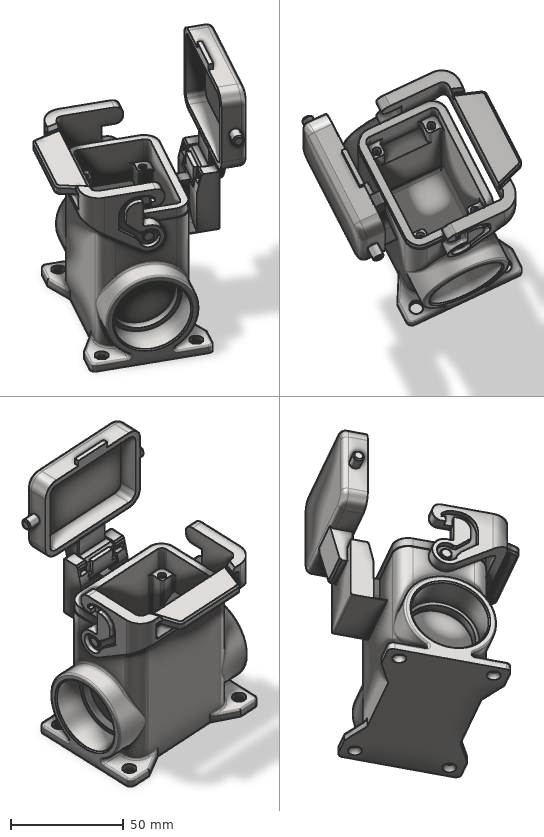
import cadquery as cq
import math


SPAN_X = 82.0
TOTAL_HEIGHT = 134.0

BODY_X, BODY_Y, BODY_HEIGHT = 60.5, 43.4, 73.5
BODY_CORNER = 7.4
RIM_HEIGHT = 4.8
RIM_X, RIM_Y = 59.5, 43.1

CAVITY_X, CAVITY_Y, CAVITY_CORNER = 52.5, 35.5, 2.7
LOWER_CAVITY_X = 38.6
CAVITY_FLOOR = 4.0
FLOOR_FILLET = 2.0
SHELF_OUTER_Z, SHELF_INNER_Z = 52.3, 46.9
POST_TOP, POST_Y, POST_CORNER = 61.6, 7.2, 1.6
SCREW_X, SCREW_Y, SCREW_DIAMETER, SCREW_DEPTH = 22.1, 13.5, 3.8, 10.7

PIPE_Z, PIPE_RADIUS = 25.2, 21.6
PIPE_ROOT_FILLET = 1.0
BORE_RADIUS, BORE_DEPTH, BORE_CHAMFER = 18.0, 15.0, 0.7
KNOCKOUT_RADIUS, KNOCKOUT_DEPTH = 16.1, 19.3

FOOT_Y, FOOT_THICKNESS, FOOT_CORNER = 57.2, 4.2, 2.7
FOOT_EDGE = 1.0
FOOT_FLAT_X, FOOT_INNER_X = 29.2, 16.5
FOOT_HOLE_X, FOOT_HOLE_Y, FOOT_HOLE_DIAMETER = 35.0, 22.0, 6.3
NECK_RADIUS = 1.3

COVER_X, COVER_CORNER, COVER_WALL, COVER_BACK_EDGE = 60.5, 7.1, 3.0, 3.0
COVER_FRONT_Y, COVER_BACK_Y = 35.1, 47.2
COVER_BOTTOM, COVER_TOP = 87.9, 131.0
TAB_X, TAB_THICKNESS = 18.4, 2.3
PEG_Z, PEG_Y, PEG_DIAMETER, PEG_SPAN, PEG_EDGE = 109.3, 41.3, 5.2, 73.3, 0.7

HINGE_X, HINGE_BACK_Y, HINGE_FRONT_Y = 29.7, 38.6, 28.0
HINGE_TOP, HINGE_BOTTOM = 78.9, 47.7
HINGE_BACK_FILLET = 0.8
HINGE_SLOT_X, HINGE_SLOT_FLOOR = 18.2, 71.0
EAR_NOTCH_X, EAR_NOTCH_Y, EAR_NOTCH_LOW, EAR_NOTCH_HIGH = 27.3, 31.4, 73.2, 76.6
BRACKET_TOP, BRACKET_NECK_Z, BRACKET_FOOT_Z = 68.7, 59.5, 49.6
BRACKET_NECK_X, BRACKET_FOOT_X, BRACKET_LIP = 6.0, 17.7, 0.4
ARM_X, ARM_FRONT_Y, ARM_BACK_Y, ARM_SLOPE_TOP, ARM_CHAMFER = 17.7, 35.5, 46.6, 89.2, 0.7
BAR_FRONT_Y, BAR_TOP = 30.7, 78.4
APRON_X, APRON_FRONT_Y, APRON_TOP = 12.6, 29.0, 77.5

LEVER_X, LEVER_INNER_X, LEVER_TOP = 72.5, 61.0, 90.5
LEVER_FRONT_Y, LEVER_INNER_Y = -30.3, -24.9
LEVER_CORNER, LEVER_INNER_CORNER = 9.1, 3.5
PIVOT_Z, EYE_RADIUS, PIVOT_RADIUS = 64.5, 7.0, 2.7
HOOK_Y, HOOK_BOTTOM, HOOK_CORNER, THROAT_Y, THROAT_FILLET = 7.0, 81.3, 4.2, -3.1, 1.3
LEVER_NOSE_Z = 76.6
TRACK_DEPTH, TRACK_EYE_RADIUS = 2.7, 4.8
TRACK_BEND_Y, TRACK_BEND_Z = -5.1, 78.7
TRACK_OUTER_RADIUS, TRACK_INNER_RADIUS = 9.2, 5.9
TRACK_END_Y, TRACK_END_Z, TRACK_GATE_Y = 2.7, 83.9, 0.8
PIN_CHAMFER = 0.4
HANDLE_TIP_Y, HANDLE_TOP, HANDLE_BOTTOM = -38.7, 88.5, 83.6
HANDLE_ROOT_X, HANDLE_TIP_X, HANDLE_CORNER, HANDLE_EDGE = 47.5, 37.8, 2.7, 1.0
NOTCH_ROOT_X, NOTCH_TIP_X, NOTCH_SPLAY = 48.5, 38.9, 35
POCKET_X, POCKET_LOW, POCKET_HIGH, POCKET_CORNER = 52.5, 78.5, 87.1, 1.1
POCKET_DEPTH, POCKET_TAPER = 3.5, 40


def box(x_size, y_low, y_high, z_low, z_high):
    """Block centred on X with given Y and Z limits."""
    block = cq.Workplane("XY").box(x_size, y_high - y_low, z_high - z_low, centered=(True, False, False))
    return block.translate((0, y_low, z_low))


def rounded_prism(x_size, y_size, corner, z_low, z_high):
    """Upright rectangular prism with rounded vertical edges."""
    prism = cq.Workplane("XY", origin=(0, 0, z_low)).rect(x_size, y_size).extrude(z_high - z_low)
    return prism.edges("|Z").fillet(corner)


def x_cylinder(radius, x_low, x_high, y, z):
    """Cylinder along X."""
    return cq.Workplane("YZ", origin=(x_low, y, z)).circle(radius).extrude(x_high - x_low)


def side_profile(points, x_size):
    """Polygon of (Y, Z) points extruded symmetrically along X."""
    return cq.Workplane("YZ").polyline(points).close().extrude(x_size / 2, both=True)


def both_sides(right_half):
    """Body together with its mirror image across X = 0."""
    return right_half.union(right_half.mirror("YZ"))


def make_feet():
    half_x, half_y, waist_y = SPAN_X / 2, FOOT_Y / 2, BODY_Y / 2
    quarter = [(half_x, half_y), (FOOT_FLAT_X, half_y), (FOOT_INNER_X, waist_y)]
    outline = quarter + [(-x, y) for x, y in reversed(quarter)]
    outline += [(-x, -y) for x, y in quarter] + [(x, -y) for x, y in reversed(quarter)]
    plate = cq.Workplane("XY").polyline(outline).close().extrude(FOOT_THICKNESS)
    for side in (">X", "<X"):
        plate = plate.faces(side).edges("|Z").fillet(FOOT_CORNER)
    return plate


def foot_holes():
    spots = [(x * FOOT_HOLE_X, y * FOOT_HOLE_Y) for x in (-1, 1) for y in (-1, 1)]
    return cq.Workplane("XY").pushPoints(spots).circle(FOOT_HOLE_DIAMETER / 2).extrude(FOOT_THICKNESS)


def make_pipes():
    pipe = x_cylinder(PIPE_RADIUS, 0, SPAN_X / 2, 0, PIPE_Z)
    groove_z = FOOT_THICKNESS + NECK_RADIUS
    reach = PIPE_RADIUS + NECK_RADIUS
    drop = PIPE_Z - groove_z
    groove_y = math.sqrt(reach**2 - drop**2)
    touch = PIPE_RADIUS / reach
    web_half = [(groove_y, 0), (groove_y, groove_z), (groove_y * touch, PIPE_Z - drop * touch)]
    web_points = web_half + [(-y, z) for y, z in reversed(web_half)]
    web = cq.Workplane("YZ").polyline(web_points).close().extrude(SPAN_X / 2)
    for y in (-groove_y, groove_y):
        web = web.cut(x_cylinder(NECK_RADIUS, 0, SPAN_X / 2, y, groove_z))
    return both_sides(pipe.union(web))


def pipe_bores():
    end = SPAN_X / 2
    bore = x_cylinder(BORE_RADIUS, end - BORE_DEPTH, end, 0, PIPE_Z)
    mouth = cq.Solid.makeCone(
        BORE_RADIUS,
        BORE_RADIUS + BORE_CHAMFER,
        BORE_CHAMFER,
        cq.Vector(end - BORE_CHAMFER, 0, PIPE_Z),
        cq.Vector(1, 0, 0),
    )
    bore = bore.union(cq.Workplane(mouth))
    return both_sides(bore.union(x_cylinder(KNOCKOUT_RADIUS, end - KNOCKOUT_DEPTH, end, 0, PIPE_Z)))


def make_shell():
    rim_z = BODY_HEIGHT - RIM_HEIGHT
    lower = rounded_prism(BODY_X, BODY_Y, BODY_CORNER, 0, rim_z)
    return lower.union(rounded_prism(RIM_X, RIM_Y, BODY_CORNER, rim_z, BODY_HEIGHT))


def make_post():
    """Screw post in the +X +Y corner: rounded nose, hollow fillets where it meets the walls."""
    wall_x, wall_y = CAVITY_X / 2, CAVITY_Y / 2
    inner_x, inner_y = LOWER_CAVITY_X / 2, wall_y - POST_Y
    return (
        cq.Workplane("XY")
        .moveTo(wall_x, wall_y)
        .lineTo(inner_x - POST_CORNER, wall_y)
        .radiusArc((inner_x, wall_y - POST_CORNER), POST_CORNER)
        .lineTo(inner_x, inner_y + POST_CORNER)
        .radiusArc((inner_x + POST_CORNER, inner_y), -POST_CORNER)
        .lineTo(wall_x - POST_CORNER, inner_y)
        .radiusArc((wall_x, inner_y - POST_CORNER), POST_CORNER)
        .close()
        .extrude(POST_TOP)
    )


def make_cavity():
    well = cq.Workplane("XY", origin=(0, 0, CAVITY_FLOOR))
    well = well.rect(LOWER_CAVITY_X, CAVITY_Y).extrude(BODY_HEIGHT - CAVITY_FLOOR)
    well = well.faces("<Z").edges().fillet(FLOOR_FILLET)
    outer, inner = CAVITY_X / 2, LOWER_CAVITY_X / 2
    section = [(outer, BODY_HEIGHT), (outer, SHELF_OUTER_Z), (inner, SHELF_INNER_Z)]
    section += [(-x, z) for x, z in reversed(section)]
    upper = cq.Workplane("XZ").polyline(section).close().extrude(CAVITY_Y / 2, both=True)
    envelope = rounded_prism(CAVITY_X, CAVITY_Y, CAVITY_CORNER, 0, BODY_HEIGHT)
    cavity = well.union(upper.intersect(envelope))

    post = make_post()
    for pair in (post, post.mirror("YZ")):
        cavity = cavity.cut(pair).cut(pair.mirror("XZ"))
    spots = [(x * SCREW_X, y * SCREW_Y) for x in (-1, 1) for y in (-1, 1)]
    screw_holes = cq.Workplane("XY", origin=(0, 0, POST_TOP - SCREW_DEPTH)).pushPoints(spots)
    return cavity.union(screw_holes.circle(SCREW_DIAMETER / 2).extrude(SCREW_DEPTH))


def round_junctions(solid):
    """Fillet where the pipes and webs meet the housing walls, running on round the foot of the housing."""
    reach_x, reach_y = BODY_X / 2 + 0.7, BODY_Y / 2 + 0.7
    low, high = FOOT_THICKNESS + NECK_RADIUS, PIPE_Z + PIPE_RADIUS
    near_wall = cq.selectors.BoxSelector((-reach_x, -reach_y, low), (reach_x, reach_y, high))
    return solid.edges(near_wall - cq.selectors.TypeSelector("LINE")).fillet(PIPE_ROOT_FILLET)


def round_foot_edges(solid):
    """Round the end-face outlines and the outer top edges of the feet."""
    edges = []
    for edge in solid.edges().vals():
        spot = edge.Center()
        on_end = abs(spot.x) > SPAN_X / 2 - 0.1 and spot.z > FOOT_THICKNESS - 0.1
        on_foot_rim = abs(spot.z - FOOT_THICKNESS) < 0.1 and abs(spot.y) > BODY_Y / 2 + 1.3
        if on_end or on_foot_rim:
            edges.append(edge)
    return solid.newObject(edges).fillet(FOOT_EDGE)


def make_hinge():
    block = side_profile(
        [
            (HINGE_BACK_Y, HINGE_BOTTOM),
            (HINGE_BACK_Y, HINGE_TOP),
            (31.0, HINGE_TOP),
            (30.2, HINGE_TOP - 0.8),
            (HINGE_FRONT_Y, BRACKET_TOP),
            (HINGE_FRONT_Y, HINGE_BOTTOM),
        ],
        HINGE_X,
    )
    block = block.edges("|X and >Y").fillet(HINGE_BACK_FILLET)
    block = block.cut(box(HINGE_SLOT_X, 0, HINGE_BACK_Y, HINGE_SLOT_FLOOR, HINGE_TOP))
    block = block.cut(box(HINGE_SLOT_X, 0, APRON_FRONT_Y, BRACKET_TOP, HINGE_SLOT_FLOOR))
    block = block.cut(box(EAR_NOTCH_X, 0, EAR_NOTCH_Y, EAR_NOTCH_LOW, EAR_NOTCH_HIGH))
    neck, flare, foot = BRACKET_NECK_X / 2, BRACKET_FOOT_X / 2, HINGE_X / 2
    radial = math.sqrt(0.5)
    mid = (flare - (flare - neck) * radial, BRACKET_NECK_Z - (BRACKET_NECK_Z - BRACKET_FOOT_Z) * radial)
    half = (
        cq.Workplane("XZ", origin=(0, HINGE_FRONT_Y, 0))
        .moveTo(0, HINGE_BOTTOM)
        .lineTo(foot, HINGE_BOTTOM)
        .lineTo(foot, HINGE_BOTTOM + BRACKET_LIP)
        .lineTo(flare, BRACKET_FOOT_Z)
        .threePointArc(mid, (neck, BRACKET_NECK_Z))
        .lineTo(neck, BRACKET_TOP)
        .lineTo(0, BRACKET_TOP)
        .close()
        .extrude(HINGE_FRONT_Y - BODY_Y / 2 + 0.7)
    )
    return block.union(both_sides(half))


def make_cover():
    height = COVER_TOP - COVER_BOTTOM
    mid_z = (COVER_TOP + COVER_BOTTOM) / 2
    lid = cq.Workplane("XZ", origin=(0, COVER_BACK_Y, mid_z)).rect(COVER_X, height)
    lid = lid.extrude(COVER_BACK_Y - COVER_FRONT_Y)
    lid = lid.edges("|Y").fillet(COVER_CORNER).faces(">Y").edges().fillet(COVER_BACK_EDGE)
    hollow = cq.Workplane("XZ", origin=(0, COVER_BACK_Y - COVER_WALL, mid_z))
    hollow = hollow.rect(COVER_X - 2 * COVER_WALL, height - 2 * COVER_WALL)
    hollow = hollow.extrude(COVER_BACK_Y - COVER_WALL - COVER_FRONT_Y)
    hollow = hollow.edges("|Y").fillet(COVER_CORNER - COVER_WALL)
    tab = box(TAB_X, COVER_FRONT_Y, COVER_FRONT_Y + TAB_THICKNESS, COVER_TOP - COVER_WALL, TOTAL_HEIGHT)
    pegs = x_cylinder(PEG_DIAMETER / 2, -PEG_SPAN / 2, PEG_SPAN / 2, PEG_Y, PEG_Z)
    pegs = pegs.faces("<X or >X").edges().chamfer(PEG_EDGE)
    arm_top = COVER_BOTTOM + COVER_WALL
    arm = side_profile(
        [
            (ARM_BACK_Y, arm_top),
            (ARM_BACK_Y, ARM_SLOPE_TOP),
            (42.1, HINGE_SLOT_FLOOR + 1.0),
            (41.0, HINGE_SLOT_FLOOR),
            (BAR_FRONT_Y, HINGE_SLOT_FLOOR),
            (BAR_FRONT_Y, BAR_TOP - 1.3),
            (BAR_FRONT_Y + 1.6, BAR_TOP),
            (ARM_FRONT_Y, BAR_TOP),
            (ARM_FRONT_Y, arm_top),
        ],
        ARM_X,
    )
    front_edges = cq.selectors.BoxSelector(
        (-ARM_X, ARM_FRONT_Y - 0.1, BAR_TOP + 0.1), (ARM_X, ARM_FRONT_Y + 0.1, COVER_TOP)
    )
    arm = arm.edges("|Z").edges(front_edges).chamfer(ARM_CHAMFER)
    apron = box(APRON_X, APRON_FRONT_Y, BAR_FRONT_Y + 0.7, BRACKET_TOP, APRON_TOP)
    return lid.union(pegs).union(tab).union(arm).cut(hollow).union(apron)


def make_lever_blank():
    frame = box(LEVER_X, LEVER_FRONT_Y, HOOK_Y, PIVOT_Z - EYE_RADIUS, LEVER_TOP)
    frame = frame.edges("|Z and <Y").fillet(LEVER_CORNER)
    inside = box(LEVER_INNER_X, LEVER_INNER_Y, HOOK_Y, 0, LEVER_TOP)
    frame = frame.cut(inside.edges("|Z and <Y").fillet(LEVER_INNER_CORNER))
    run, rise = -LEVER_FRONT_Y, LEVER_NOSE_Z - PIVOT_Z
    distance = math.hypot(run, rise)
    reach = math.acos(EYE_RADIUS / distance)
    angle = math.atan2(rise, -run) + reach
    tangent = (EYE_RADIUS * math.cos(angle), PIVOT_Z + EYE_RADIUS * math.sin(angle))
    throat_z = PIVOT_Z + math.sqrt(EYE_RADIUS**2 - THROAT_Y**2)
    outline = (
        cq.Workplane("YZ", origin=(-LEVER_X / 2, 0, 0))
        .moveTo(LEVER_FRONT_Y, LEVER_TOP)
        .lineTo(LEVER_FRONT_Y, LEVER_NOSE_Z)
        .lineTo(*tangent)
        .threePointArc((EYE_RADIUS, PIVOT_Z), (THROAT_Y, throat_z))
        .lineTo(THROAT_Y, HOOK_BOTTOM)
        .lineTo(HOOK_Y, HOOK_BOTTOM)
        .lineTo(HOOK_Y, LEVER_TOP)
        .close()
        .extrude(LEVER_X)
        .edges("|X and >Y")
        .fillet(HOOK_CORNER)
    )
    throat = cq.selectors.BoxSelector(
        (-LEVER_X, THROAT_Y - 0.1, throat_z - 0.1), (LEVER_X, THROAT_Y + 0.1, throat_z + 0.1)
    )
    outline = outline.edges("|X").edges(throat).fillet(THROAT_FILLET)
    return frame.intersect(outline)


def lever_track():
    """Recess in the outer cheek running from the eye round into the hook."""
    floor_x = LEVER_X / 2 - TRACK_DEPTH
    diagonal = math.sqrt(0.5)

    def bend(radius, along_y, along_z):
        return (TRACK_BEND_Y - radius * along_y, TRACK_BEND_Z + radius * along_z)

    run = (
        cq.Workplane("YZ", origin=(floor_x, 0, 0))
        .moveTo(-2.1, PIVOT_Z + 4)
        .lineTo(-4.7, PIVOT_Z + 4)
        .lineTo(TRACK_BEND_Y - TRACK_INNER_RADIUS, 74.1)
        .lineTo(*bend(TRACK_INNER_RADIUS, 1, 0))
        .threePointArc(bend(TRACK_INNER_RADIUS, diagonal, diagonal), bend(TRACK_INNER_RADIUS, 0, 1))
        .lineTo(THROAT_Y, TRACK_BEND_Z + TRACK_INNER_RADIUS)
        .lineTo(THROAT_Y, HOOK_BOTTOM)
        .lineTo(TRACK_GATE_Y, HOOK_BOTTOM)
        .lineTo(TRACK_GATE_Y, TRACK_END_Z)
        .lineTo(TRACK_END_Y, TRACK_END_Z)
        .lineTo(TRACK_END_Y, TRACK_END_Z + 1.3)
        .threePointArc((0.4, 87.1), (THROAT_Y, TRACK_BEND_Z + TRACK_OUTER_RADIUS))
        .lineTo(*bend(TRACK_OUTER_RADIUS, 0, 1))
        .threePointArc(bend(TRACK_OUTER_RADIUS, diagonal, diagonal), bend(TRACK_OUTER_RADIUS, 1, 0))
        .lineTo(TRACK_BEND_Y - TRACK_OUTER_RADIUS, 71.7)
        .lineTo(-6.4, PIVOT_Z + 1.1)
        .lineTo(-4.5, PIVOT_Z - 1.3)
        .lineTo(-2.1, PIVOT_Z - 4)
        .close()
        .extrude(TRACK_DEPTH)
    )
    eye = x_cylinder(TRACK_EYE_RADIUS, floor_x, floor_x + TRACK_DEPTH, 0, PIVOT_Z)
    return run.union(eye)


def trapezoid(root_x, tip_x, z_low, z_high, taper=0):
    """Flat plate narrowing from the inner lever wall to the handle tip."""
    points = [
        (-root_x / 2, LEVER_INNER_Y),
        (root_x / 2, LEVER_INNER_Y),
        (tip_x / 2, HANDLE_TIP_Y),
        (-tip_x / 2, HANDLE_TIP_Y),
    ]
    outline = cq.Workplane("XY", origin=(0, 0, z_low)).polyline(points).close()
    return outline.extrude(z_high - z_low, taper=taper)


def make_handle():
    handle = trapezoid(HANDLE_ROOT_X, HANDLE_TIP_X, HANDLE_BOTTOM, HANDLE_TOP)
    handle = handle.edges("|Z and <Y").fillet(HANDLE_CORNER)
    return handle.faces("<Z or >Z").edges("not >Y").chamfer(HANDLE_EDGE)


def make_lever():
    lever = make_lever_blank()
    lever = lever.cut(trapezoid(NOTCH_ROOT_X, NOTCH_TIP_X, HANDLE_BOTTOM, HANDLE_TOP))
    lever = lever.cut(trapezoid(NOTCH_ROOT_X, NOTCH_TIP_X, HANDLE_TOP, LEVER_TOP, -NOTCH_SPLAY))
    pocket = cq.Workplane("XZ", origin=(0, LEVER_FRONT_Y, (POCKET_LOW + POCKET_HIGH) / 2))
    pocket = pocket.sketch().rect(POCKET_X, POCKET_HIGH - POCKET_LOW)
    pocket = pocket.vertices().fillet(POCKET_CORNER).finalize()
    lever = lever.cut(pocket.extrude(-POCKET_DEPTH, taper=POCKET_TAPER))
    lever = lever.union(make_handle()).cut(both_sides(lever_track()))
    pin_end = LEVER_X / 2 - TRACK_DEPTH / 2
    pin = x_cylinder(PIVOT_RADIUS, CAVITY_X / 2 + 1.3, pin_end, 0, PIVOT_Z)
    return lever.union(both_sides(pin.faces(">X").edges().chamfer(PIN_CHAMFER)))


housing = make_shell().union(make_pipes()).union(make_feet())
housing = round_foot_edges(round_junctions(housing))
housing = housing.cut(foot_holes()).cut(make_cavity()).cut(pipe_bores())
result = housing.union(make_hinge()).union(make_cover()).union(make_lever())